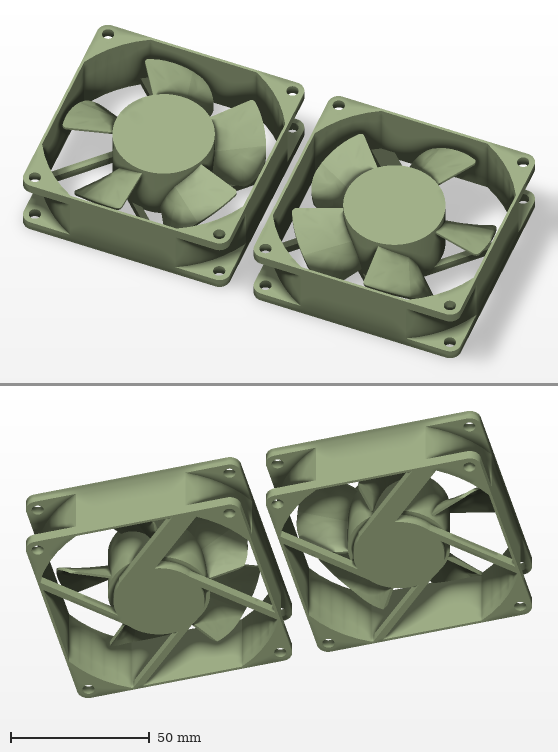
import cadquery as cq
import math

FRAME_SIDE = 80.0
FRAME_HEIGHT = 25.0
FLANGE_THICKNESS = 3.9
CORNER_RADIUS = 4.0
SIDE_WALL = 1.0
DUCT_RADIUS = 44.0
DUCT_WALL = 0.8
HOLE_OFFSET = 35.8
HOLE_DIAMETER = 4.4
OVERALL_LENGTH = 169.5
FAN_SPACING = OVERALL_LENGTH - FRAME_SIDE

STRUT_HEIGHT = 3.4
STRUT_OUTER_OFFSET = 16.1
STRUT_WIDTH = 2.5
STRUT_ANGLES = (45, 225, 315)
WIDE_STRUT_OUTER_OFFSET = 16.8
WIDE_STRUT_WIDTH = 7.3
WIDE_STRUT_ANGLE = 135

HUB_RADIUS = 18.5
HUB_TOP = 25.1
HUB_BOTTOM = 3.9
HUB_TOP_THICKNESS = 0.2
BOSS_RADIUS = 16.5
BOSS_TOP = HUB_TOP - HUB_TOP_THICKNESS

BLADE_COUNT = 5
BLADE_TIP_RADIUS = 37.0
BLADE_THICKNESS = 1.0
BLADE_AXIS_ANGLE = 170.5
TOP_CORNER_RADIUS = 1.7
BOTTOM_CORNER_RADIUS = 7.6
ROOT_SECTION_DISTANCE = 13.5
TIP_SECTION_DISTANCE = 39.0
BLADE_ROOT_DEPTH = 1.0
BLADE_ROOT_RADIUS = HUB_RADIUS - BLADE_ROOT_DEPTH
OUTLINE_MARGIN = 0.08
BLADE_TOP = 23.2
CREASE_HEIGHT = 17.1
BLADE_BOTTOM = 6.1
ROOT_SECTION = (-6.1, 3.5, 7.5)
TIP_SECTION = (-17.3, 2.0, 14.4)
UPPER_BULGE = 0.8
ROOT_LOWER_BULGE = 0.5
TIP_LOWER_BULGE = 1.0
TOP_SLOPE = 18
UPPER_SLOPE = 27
CREASE_SLOPE = 45
LOWER_SLOPE = 63
BOTTOM_SLOPE = 81


def plate(thickness, bottom):
    """A square plate with the frame's outline and rounded corners."""
    return (
        cq.Workplane("XY", origin=(0, 0, bottom))
        .rect(FRAME_SIDE, FRAME_SIDE)
        .extrude(thickness)
        .edges("|Z")
        .fillet(CORNER_RADIUS)
    )


def clipped_cylinder(radius, side):
    """A full-height cylinder cut down to a square of the given side."""
    square = cq.Workplane("XY").rect(side, side).extrude(FRAME_HEIGHT)
    return cq.Workplane("XY").circle(radius).extrude(FRAME_HEIGHT).intersect(square)


def strut(outer_offset, width, angle):
    """A bar running outward at the given angle, beside the frame's centre."""
    return (
        cq.Workplane("XY")
        .center(FRAME_SIDE / 2, width / 2 - outer_offset)
        .rect(FRAME_SIDE, width)
        .extrude(STRUT_HEIGHT)
        .rotate((0, 0, 0), (0, 0, 1), angle)
    )


def make_frame():
    """Flanged duct with four struts and a central motor boss."""
    opening = clipped_cylinder(DUCT_RADIUS, FRAME_SIDE - 2 * SIDE_WALL)
    shell = (
        clipped_cylinder(DUCT_RADIUS + DUCT_WALL, FRAME_SIDE)
        .union(plate(FLANGE_THICKNESS, 0))
        .union(plate(FLANGE_THICKNESS, FRAME_HEIGHT - FLANGE_THICKNESS))
        .cut(opening)
    )
    holes = (
        cq.Workplane("XY")
        .rect(2 * HOLE_OFFSET, 2 * HOLE_OFFSET, forConstruction=True)
        .vertices()
        .circle(HOLE_DIAMETER / 2)
        .extrude(FRAME_HEIGHT)
    )
    struts = strut(WIDE_STRUT_OUTER_OFFSET, WIDE_STRUT_WIDTH, WIDE_STRUT_ANGLE)
    for angle in STRUT_ANGLES:
        struts = struts.union(strut(STRUT_OUTER_OFFSET, STRUT_WIDTH, angle))
    boss = cq.Workplane("XY").circle(BOSS_RADIUS).extrude(BOSS_TOP)
    return shell.cut(holes).union(struts.intersect(opening)).union(boss)


def raised_middle(start, end, bulge):
    """The midpoint of a chord, pushed outward from it by the bulge."""
    run = end[0] - start[0]
    drop = start[1] - end[1]
    chord = math.hypot(run, drop)
    return (
        (start[0] + end[0]) / 2 + bulge * drop / chord,
        (start[1] + end[1]) / 2 + bulge * run / chord,
    )


def underside(point, slope_angle):
    """The point one blade thickness beneath a point of the upper side that slopes down at the angle."""
    slope = math.radians(slope_angle)
    return (
        point[0] - BLADE_THICKNESS * math.sin(slope),
        point[1] - BLADE_THICKNESS * math.cos(slope),
    )


def blade_section(distance, places, lower_bulge):
    """Closed, curved blade section in a plane across the blade's axis."""
    top = (places[0], BLADE_TOP)
    crease = (places[1], CREASE_HEIGHT)
    bottom = (places[2], BLADE_BOTTOM)
    upper_middle = raised_middle(top, crease, UPPER_BULGE)
    lower_middle = raised_middle(crease, bottom, lower_bulge)

    return (
        cq.Workplane("YZ", origin=(distance, 0, 0))
        .moveTo(*top)
        .threePointArc(upper_middle, crease)
        .threePointArc(lower_middle, bottom)
        .lineTo(*underside(bottom, BOTTOM_SLOPE))
        .threePointArc(underside(lower_middle, LOWER_SLOPE), underside(crease, CREASE_SLOPE))
        .threePointArc(underside(upper_middle, UPPER_SLOPE), underside(top, TOP_SLOPE))
        .close()
        .val()
    )


def blade_outline():
    """A prism over the blade's plan outline, with a round tip and rounded tip corners."""
    top_root, _, bottom_root = ROOT_SECTION
    top_tip, _, bottom_tip = TIP_SECTION
    fan_shape = (
        cq.Workplane("XY")
        .moveTo(ROOT_SECTION_DISTANCE, top_root - OUTLINE_MARGIN)
        .lineTo(TIP_SECTION_DISTANCE, top_tip - OUTLINE_MARGIN)
        .lineTo(TIP_SECTION_DISTANCE, bottom_tip + OUTLINE_MARGIN)
        .lineTo(ROOT_SECTION_DISTANCE, bottom_root + OUTLINE_MARGIN)
        .close()
        .extrude(HUB_TOP)
    )
    ring = cq.Workplane("XY").circle(BLADE_TIP_RADIUS).circle(BLADE_ROOT_RADIUS).extrude(HUB_TOP)
    return (
        fan_shape.intersect(ring)
        .edges(cq.selectors.NearestToPointSelector((BLADE_TIP_RADIUS, top_tip, HUB_TOP / 2)))
        .fillet(TOP_CORNER_RADIUS)
        .edges(cq.selectors.NearestToPointSelector((BLADE_TIP_RADIUS, bottom_tip, HUB_TOP / 2)))
        .fillet(BOTTOM_CORNER_RADIUS)
    )


def make_blade():
    """One blade along X, trimmed to its plan outline."""
    root = blade_section(ROOT_SECTION_DISTANCE, ROOT_SECTION, ROOT_LOWER_BULGE)
    tip = blade_section(TIP_SECTION_DISTANCE, TIP_SECTION, TIP_LOWER_BULGE)
    return cq.Workplane(cq.Solid.makeLoft([root, tip], True)).intersect(blade_outline())


def make_rotor():
    """Hub cup and blades, with each blade's top edge on its counterclockwise side."""
    rotor_body = (
        cq.Workplane("XY", origin=(0, 0, HUB_BOTTOM))
        .circle(HUB_RADIUS)
        .extrude(HUB_TOP - HUB_BOTTOM)
        .cut(cq.Workplane("XY").circle(BOSS_RADIUS).extrude(BOSS_TOP))
    )
    blade = make_blade().mirror("XZ")
    for index in range(BLADE_COUNT):
        angle = BLADE_AXIS_ANGLE + index * 360 / BLADE_COUNT
        rotor_body = rotor_body.union(blade.rotate((0, 0, 0), (0, 0, 1), angle))
    return rotor_body


left = (-FAN_SPACING / 2, 0, 0)
right = (FAN_SPACING / 2, 0, 0)
frame = make_frame()
rotor = make_rotor()
frames = [frame.translate(place) for place in (left, right)]
rotors = [rotor.translate(left), rotor.mirror("YZ").translate(right)]

result = cq.Compound.makeCompound([body.val() for body in frames + rotors])